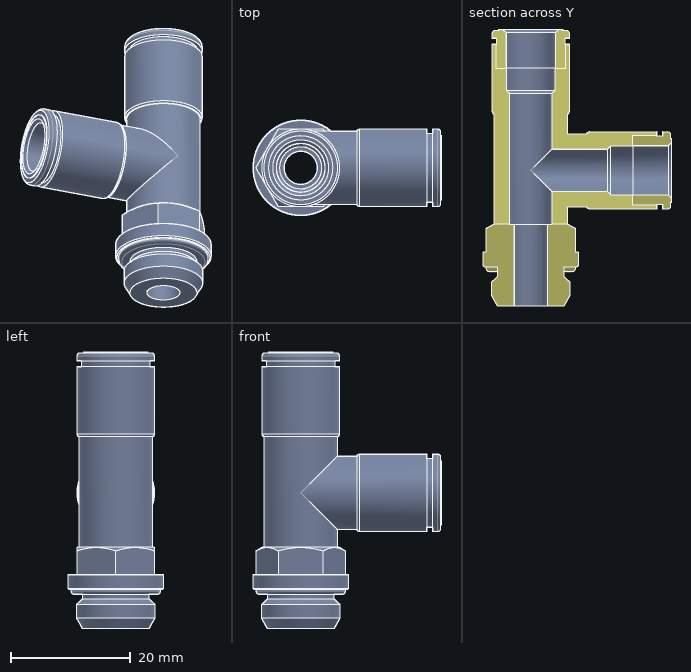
import cadquery as cq
import math

TOTAL_HEIGHT = 46.2
BRANCH_REACH = 23.5
BRANCH_HEIGHT = 22.7

TUBE_DIAMETER = 12.3
SOCKET_DIAMETER = 13.0
SOCKET_LENGTH = 11.65
SOCKET_BEVEL_LENGTH = 0.35
SOCKET_BEVEL_DIAMETER = 12.65
FLOW_DIAMETER = 7.0
STOP_DIAMETER = 8.1
STOP_DEPTH = 10.15

RING_NECK_DIAMETER = 11.5
RING_BORE_DIAMETER = 8.2
RING_LENGTH = 6.45
RING_GAP = 0.95
RING_HEAD_LENGTH = 1.35
RING_FACE_DIAMETER = 12.3
RING_ROUND_LENGTH = 0.55
RING_LIP_DIAMETER = 10.7
RING_LIP_HEIGHT = 0.15
RING_MOUTH_DIAMETER = 9.35
RING_MOUTH_DEPTH = 0.5
RING_STICK_OUT = RING_LIP_HEIGHT + RING_HEAD_LENGTH + RING_GAP

STEM_BORE_DIAMETER = 5.5
HEX_SIDES = 6
HEX_TOP = 13.68
HEX_ACROSS_FLATS = 13.0
HEX_TOP_DIAMETER = 12.55
HEX_CHAMFER_ANGLE = 30.0
FLANGE_DIAMETER = 16.0
FLANGE_TOP = 9.05
FLANGE_BOTTOM = 6.5
FLANGE_TOP_CHAMFER = 0.1
FLANGE_BOTTOM_CHAMFER = 0.25
GROOVE_DIAMETER = 11.2
GROOVE_BOTTOM = 5.0
THREAD_DIAMETER = 13.15
THREAD_TOP = 4.0
THREAD_BOTTOM = 1.75
STEM_TIP_DIAMETER = 11.2

SEAL_DIAMETER = 14.95
SEAL_BOTTOM = 5.75
SEAL_FILLET = 0.55


def cylinder(diameter, start, end):
    """Cylinder on the Z axis between two heights."""
    return cq.Workplane("XY").workplane(offset=start).circle(diameter / 2).extrude(end - start)


def cone(start_diameter, start, end_diameter, end):
    """Truncated cone on the Z axis between two heights."""
    return (
        cq.Workplane("XY").workplane(offset=start).circle(start_diameter / 2)
        .workplane(offset=end - start).circle(end_diameter / 2).loft()
    )


def at_main(shape):
    """Move a shape whose outlet is at the origin to the upper outlet."""
    return shape.translate((0, 0, TOTAL_HEIGHT))


def at_branch(shape):
    """Turn a shape whose outlet is at the origin to the +X outlet."""
    return shape.rotate((0, 0, 0), (0, 1, 0), 90).translate((BRANCH_REACH, 0, BRANCH_HEIGHT))


def make_arm(length):
    """Tube with a wider socket; the outlet plane is at the origin."""
    socket_end = -RING_STICK_OUT
    bevel_top = socket_end - SOCKET_LENGTH + SOCKET_BEVEL_LENGTH
    bevel_bottom = socket_end - SOCKET_LENGTH
    return (
        cylinder(TUBE_DIAMETER, -length, socket_end)
        .union(cylinder(SOCKET_DIAMETER, bevel_top, socket_end))
        .union(cone(SOCKET_BEVEL_DIAMETER, bevel_bottom, SOCKET_DIAMETER, bevel_top))
    )


def make_arm_bore(length):
    """Ring recess, tube seat with a conical stop and flow passage of one arm."""
    stop_cone_depth = STOP_DEPTH + (STOP_DIAMETER - FLOW_DIAMETER) / 2
    return (
        cylinder(FLOW_DIAMETER, -length, 0)
        .union(cylinder(STOP_DIAMETER, -STOP_DEPTH, 0))
        .union(cone(FLOW_DIAMETER, -stop_cone_depth, STOP_DIAMETER, -STOP_DEPTH))
        .union(cylinder(RING_NECK_DIAMETER, -RING_LENGTH, 0))
    )


def make_tee_body():
    """Tee of two equal tubes, bored from both outlets."""
    main_length = TOTAL_HEIGHT - HEX_TOP
    outside = at_main(make_arm(main_length)).union(at_branch(make_arm(BRANCH_REACH)))
    return outside.cut(at_main(make_arm_bore(main_length))).cut(at_branch(make_arm_bore(BRANCH_REACH)))


def make_release_ring():
    """Collet with a rounded head, raised lip and countersunk mouth."""
    face = -RING_LIP_HEIGHT
    head_bottom = face - RING_HEAD_LENGTH
    head = (
        cq.Workplane("XZ")
        .moveTo(0, head_bottom)
        .lineTo(SOCKET_DIAMETER / 2, head_bottom)
        .lineTo(SOCKET_DIAMETER / 2, face - RING_ROUND_LENGTH)
        .tangentArcPoint((RING_FACE_DIAMETER / 2, face), relative=False)
        .lineTo(0, face)
        .close()
        .revolve(360, (0, 0), (0, 1))
    )
    return (
        head
        .union(cylinder(RING_NECK_DIAMETER, -RING_LENGTH, head_bottom))
        .union(cylinder(RING_LIP_DIAMETER, face, 0))
        .cut(cylinder(RING_BORE_DIAMETER, -RING_LENGTH, 0))
        .cut(cone(RING_BORE_DIAMETER, -RING_MOUTH_DEPTH, RING_MOUTH_DIAMETER, 0))
    )


def make_hex():
    """Hexagon with corners on the X axis and a conical top chamfer."""
    across_corners = HEX_ACROSS_FLATS / math.cos(math.pi / HEX_SIDES)
    chamfer_height = math.tan(math.radians(HEX_CHAMFER_ANGLE)) * (across_corners - HEX_TOP_DIAMETER) / 2
    chamfer_start = HEX_TOP - chamfer_height
    prism = (
        cq.Workplane("XY").workplane(offset=FLANGE_TOP)
        .polygon(HEX_SIDES, across_corners).extrude(HEX_TOP - FLANGE_TOP)
    )
    envelope = cylinder(across_corners, FLANGE_TOP, chamfer_start).union(
        cone(across_corners, chamfer_start, HEX_TOP_DIAMETER, HEX_TOP)
    )
    return prism.intersect(envelope)


def make_stem():
    """Hexagon, flange, seal groove and threaded end with a through bore."""
    flange = (
        cylinder(FLANGE_DIAMETER, FLANGE_BOTTOM, FLANGE_TOP)
        .faces(">Z").edges().chamfer(FLANGE_TOP_CHAMFER)
        .faces("<Z").edges().chamfer(FLANGE_BOTTOM_CHAMFER)
    )
    return (
        make_hex()
        .union(flange)
        .union(cylinder(GROOVE_DIAMETER, GROOVE_BOTTOM, FLANGE_BOTTOM))
        .union(cone(THREAD_DIAMETER, THREAD_TOP, GROOVE_DIAMETER, GROOVE_BOTTOM))
        .union(cylinder(THREAD_DIAMETER, THREAD_BOTTOM, THREAD_TOP))
        .union(cone(STEM_TIP_DIAMETER, 0, THREAD_DIAMETER, THREAD_BOTTOM))
        .cut(cylinder(STEM_BORE_DIAMETER, 0, HEX_TOP))
    )


def make_seal():
    """Sealing ring in the groove, rounded at its lower outer edge."""
    disc = cylinder(SEAL_DIAMETER, SEAL_BOTTOM, FLANGE_BOTTOM).faces("<Z").edges().fillet(SEAL_FILLET)
    return disc.cut(cylinder(GROOVE_DIAMETER, SEAL_BOTTOM, FLANGE_BOTTOM))


tee_body = make_tee_body()
stem = make_stem()
seal = make_seal()
release_rings = [place(make_release_ring()) for place in (at_main, at_branch)]

result = cq.Compound.makeCompound(
    [tee_body.val(), stem.val(), seal.val(), *[ring.val() for ring in release_rings]]
)